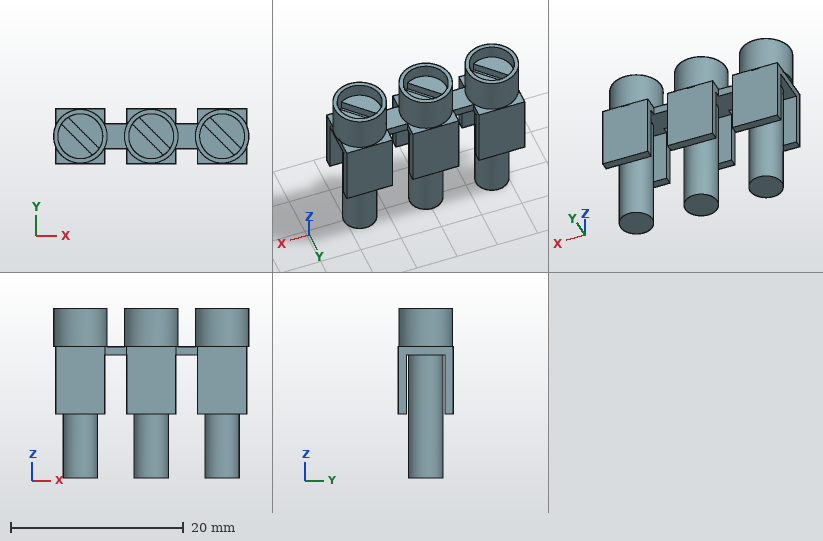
import cadquery as cq

SCREW_COUNT = 3
PITCH = 8.2

HEAD_DIAMETER = 6.2
HEAD_HEIGHT = 4.4
RECESS_DIAMETER = 5.2
RECESS_DEPTH = 1.7
SLOT_WIDTH = 1.1
SLOT_DEPTH = 1.0
SLOT_ANGLE = -45.0
SHANK_DIAMETER = 4.0
SHANK_LENGTH = 15.2

SADDLE_LENGTH = 5.7
SADDLE_WIDTH = 6.4
SADDLE_HEIGHT = 7.8
SHEET_THICKNESS = 1.0
STRIP_WIDTH = 2.9

SCREW_SPAN = PITCH * (SCREW_COUNT - 1)


def box_below(length, width, height, top_z=0.0):
    """Box centred on the Z axis that hangs down from top_z."""
    base = cq.Workplane("XY").workplane(offset=top_z)
    return base.rect(length, width).extrude(-height)


def cylinder_below(diameter, height, top_z=0.0):
    """Cylinder on the Z axis that hangs down from top_z."""
    base = cq.Workplane("XY").workplane(offset=top_z)
    return base.circle(diameter / 2).extrude(-height)


def make_screw():
    """Screw whose head sits on Z = 0."""
    head = cylinder_below(HEAD_DIAMETER, HEAD_HEIGHT, HEAD_HEIGHT)
    recess = cylinder_below(RECESS_DIAMETER, RECESS_DEPTH, HEAD_HEIGHT)
    floor_z = HEAD_HEIGHT - RECESS_DEPTH

    slot = box_below(RECESS_DIAMETER, SLOT_WIDTH, SLOT_DEPTH, floor_z)
    slot = slot.rotate((0, 0, 0), (0, 0, 1), SLOT_ANGLE)
    slot = slot.intersect(cylinder_below(RECESS_DIAMETER, SLOT_DEPTH, floor_z))

    shank = cylinder_below(SHANK_DIAMETER, SHANK_LENGTH)
    return head.cut(recess).cut(slot).union(shank)


def make_saddle():
    """U-shaped saddle, open downward and along X."""
    body = box_below(SADDLE_LENGTH, SADDLE_WIDTH, SADDLE_HEIGHT)
    channel = box_below(
        SADDLE_LENGTH,
        SADDLE_WIDTH - 2 * SHEET_THICKNESS,
        SADDLE_HEIGHT - SHEET_THICKNESS,
        -SHEET_THICKNESS,
    )
    return body.cut(channel)


station = make_saddle().union(make_screw())
result = box_below(SCREW_SPAN, STRIP_WIDTH, SHEET_THICKNESS)
for index in range(SCREW_COUNT):
    x = index * PITCH - SCREW_SPAN / 2
    result = result.union(station.translate((x, 0, 0)))